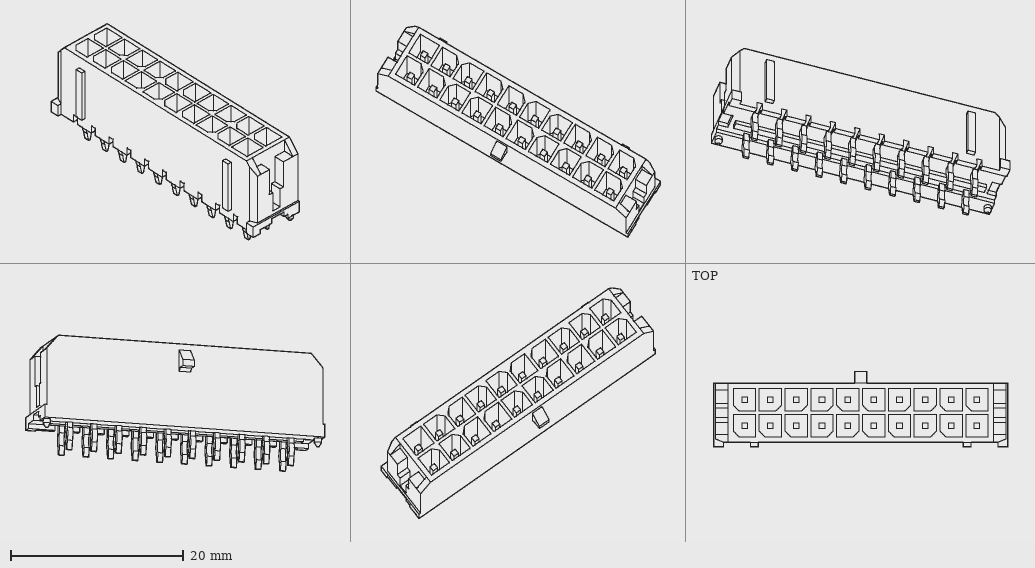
import cadquery as cq

COLUMNS = 10
PITCH = 3.0
FIRST_COLUMN_X = -PITCH * (COLUMNS - 1) / 2
ROW_Y = PITCH / 2

OVERALL_LENGTH = 34.15
OVERALL_WIDTH = 8.77
OVERALL_HEIGHT = 13.09

HOUSING_HALF_LENGTH = 16.84
HOUSING_HALF_WIDTH = 3.44
HOUSING_HEIGHT = 9.88
TOP_HALF_LENGTH = 15.4
SHOULDER_Z = 8.24
CORNER_CUT_X = 0.92
CORNER_CUT_Y = 0.41

REAR_CHEEK = 0.81
FRONT_CHEEK = 0.94
SLOT_WIDTH = 2.2
SLOT_STEP_Z = 4.63
NARROW_SLOT_WIDTH = 1.12
NARROW_SLOT_FLOOR_Z = 2.03

CAVITY_SIZE = 2.6
CAVITY_KEY = 0.68
CAVITY_FLOOR_Z = 2.0
REAR_KEYS = "LRRRLLRRLL"
FRONT_KEYS = "LLLRRLLRL-"

FOOT_HALF_LENGTH = OVERALL_LENGTH / 2
FOOT_INNER_X = HOUSING_HALF_LENGTH - CORNER_CUT_X
FOOT_FRONT_Y = -3.95
FOOT_HEIGHT = 1.53

CHANNEL_FRONT_Y = -2.8
CHANNEL_REAR_Y = 1.6
CHANNEL_HEIGHT = 0.57
END_NOTCH_WIDTH = 1.89
END_NOTCH_TOP_Z = 1.22
RIB_WIDTH = 0.78
RIB_LENGTH = 2 * TOP_HALF_LENGTH

PIN_SIZE = 0.64
PIN_TOP_Z = 7.5
PIN_BOTTOM_Z = HOUSING_HEIGHT - OVERALL_HEIGHT
PIN_TIP_SIZE = 0.26
PIN_TAPER_Z = -2.38
KINK_START_Z = -0.62
KINK_END_Z = -2.16
KINK_OFFSET = 0.2
PIN_NOTCH_TOP_Z = 1.03

FRONT_RIB_X = 12.36
FRONT_RIB_WIDTH = 0.94
FRONT_RIB_BOTTOM_Z = 1.53
FRONT_RIB_TOP_Z = 8.33

LATCH_WIDTH = 1.4
LATCH_REAR_Y = FOOT_FRONT_Y + OVERALL_WIDTH
LATCH_TOP_Z = 9.14
LATCH_TIP_TOP_Z = 7.73
LATCH_CATCH_Z = 6.97
LATCH_FILLET_Y = 3.88
LATCH_ROOT_Z = 6.6

PEG_X = 16.53
PEG_Y = 2.45
PEG_DIAMETER = 0.86
PEG_TIP_DIAMETER = 0.3
PEG_CYLINDER_LENGTH = 0.5
PEG_LENGTH = 0.95

SIDES = (-1, 1)


def block(x_range, y_range, z_range):
    """Box spanning the given pairs of limits, in either order."""
    (x0, x1), (y0, y1), (z0, z1) = (sorted(limits) for limits in (x_range, y_range, z_range))
    return cq.Workplane("XY").box(x1 - x0, y1 - y0, z1 - z0, centered=False).translate((x0, y0, z0))


def column_x(column):
    return FIRST_COLUMN_X + column * PITCH


def housing_body():
    """Shell outline with sloped upper ends and cut front corners."""
    profile = [
        (-HOUSING_HALF_LENGTH, 0),
        (HOUSING_HALF_LENGTH, 0),
        (HOUSING_HALF_LENGTH, SHOULDER_Z),
        (TOP_HALF_LENGTH, HOUSING_HEIGHT),
        (-TOP_HALF_LENGTH, HOUSING_HEIGHT),
        (-HOUSING_HALF_LENGTH, SHOULDER_Z),
    ]
    body = cq.Workplane("XZ").polyline(profile).close().extrude(HOUSING_HALF_WIDTH, both=True)
    for side in SIDES:
        corner = [
            (side * HOUSING_HALF_LENGTH, -HOUSING_HALF_WIDTH),
            (side * (HOUSING_HALF_LENGTH - CORNER_CUT_X), -HOUSING_HALF_WIDTH),
            (side * HOUSING_HALF_LENGTH, CORNER_CUT_Y - HOUSING_HALF_WIDTH),
        ]
        body = body.cut(cq.Workplane("XY").polyline(corner).close().extrude(HOUSING_HEIGHT))
    return body


def end_recess(side):
    """Space between the end cheeks, continued down as a stepped slot."""
    x_range = (side * TOP_HALF_LENGTH, side * HOUSING_HALF_LENGTH)
    cheek_gap = (FRONT_CHEEK - HOUSING_HALF_WIDTH, HOUSING_HALF_WIDTH - REAR_CHEEK)
    upper = block(x_range, cheek_gap, (SHOULDER_Z, HOUSING_HEIGHT))
    wide = block(x_range, (-SLOT_WIDTH / 2, SLOT_WIDTH / 2), (SLOT_STEP_Z, SHOULDER_Z))
    narrow_y = (-NARROW_SLOT_WIDTH / 2, NARROW_SLOT_WIDTH / 2)
    narrow = block(x_range, narrow_y, (NARROW_SLOT_FLOOR_Z, SLOT_STEP_Z))
    return upper.union(wide).union(narrow)


def cavity(x, y, key):
    """Square contact cavity with its front left (L), front right (R) or no (-) corner cut."""
    half = CAVITY_SIZE / 2
    hole = block((-half, half), (-half, half), (CAVITY_FLOOR_Z, HOUSING_HEIGHT))
    if key in "LR":
        corner = "<X and <Y" if key == "L" else ">X and <Y"
        hole = hole.edges("|Z").edges(corner).chamfer(CAVITY_KEY)
    return hole.translate((x, y, 0))


def foot(side):
    x_range = (side * FOOT_INNER_X, side * FOOT_HALF_LENGTH)
    return block(x_range, (FOOT_FRONT_Y, HOUSING_HALF_WIDTH), (0, FOOT_HEIGHT))


def end_notch(side):
    """Shallow notch above the channel, in the outer face of the end."""
    x_range = (side * FOOT_INNER_X, side * FOOT_HALF_LENGTH)
    return block(x_range, (-END_NOTCH_WIDTH / 2, END_NOTCH_WIDTH / 2), (0, END_NOTCH_TOP_Z))


def underside_channel():
    x_range = (-FOOT_HALF_LENGTH, FOOT_HALF_LENGTH)
    return block(x_range, (CHANNEL_FRONT_Y, CHANNEL_REAR_Y), (0, CHANNEL_HEIGHT))


def underside_rib():
    x_range = (-RIB_LENGTH / 2, RIB_LENGTH / 2)
    return block(x_range, (-RIB_WIDTH / 2, RIB_WIDTH / 2), (0, CHANNEL_HEIGHT))


def pin_notch(x):
    """Notch through the front wall, ending flush with the front face of the pin."""
    x_range = (x - PIN_SIZE / 2, x + PIN_SIZE / 2)
    return block(x_range, (-HOUSING_HALF_WIDTH, -ROW_Y - PIN_SIZE / 2), (0, PIN_NOTCH_TOP_Z))


def pin(x, row):
    """Square contact with an outward kink and a tapered tip; row is -1 (front) or 1 (rear)."""
    half = PIN_SIZE / 2
    half_tip = PIN_TIP_SIZE / 2
    center = row * ROW_Y
    kink_center = center + row * KINK_OFFSET
    kink_mid_z = (KINK_START_Z + KINK_END_Z) / 2
    return (
        cq.Workplane("YZ", origin=(x, 0, 0))
        .moveTo(center - half, PIN_TOP_Z)
        .lineTo(center - half, KINK_START_Z)
        .threePointArc((kink_center - half, kink_mid_z), (center - half, KINK_END_Z))
        .lineTo(center - half, PIN_TAPER_Z)
        .lineTo(center - half_tip, PIN_BOTTOM_Z)
        .lineTo(center + half_tip, PIN_BOTTOM_Z)
        .lineTo(center + half, PIN_TAPER_Z)
        .lineTo(center + half, KINK_END_Z)
        .threePointArc((kink_center + half, kink_mid_z), (center + half, KINK_START_Z))
        .lineTo(center + half, PIN_TOP_Z)
        .close()
        .extrude(half, both=True)
    )


def front_rib(side):
    center = side * FRONT_RIB_X
    x_range = (center - FRONT_RIB_WIDTH / 2, center + FRONT_RIB_WIDTH / 2)
    return block(x_range, (FOOT_FRONT_Y, -HOUSING_HALF_WIDTH), (FRONT_RIB_BOTTOM_Z, FRONT_RIB_TOP_Z))


def latch():
    """Ramp on the rear wall with a flat catch below."""
    profile = [
        (HOUSING_HALF_WIDTH, LATCH_TOP_Z),
        (LATCH_REAR_Y, LATCH_TIP_TOP_Z),
        (LATCH_REAR_Y, LATCH_CATCH_Z),
        (LATCH_FILLET_Y, LATCH_CATCH_Z),
        (HOUSING_HALF_WIDTH, LATCH_ROOT_Z),
    ]
    return cq.Workplane("YZ").polyline(profile).close().extrude(LATCH_WIDTH / 2, both=True)


def board_peg(side):
    """Locating peg with a conical tip."""
    radius = PEG_DIAMETER / 2
    profile = [
        (0, 0),
        (radius, 0),
        (radius, -PEG_CYLINDER_LENGTH),
        (PEG_TIP_DIAMETER / 2, -PEG_LENGTH),
        (0, -PEG_LENGTH),
    ]
    peg = cq.Workplane("XZ").polyline(profile).close().revolve(360, (0, 0, 0), (0, 1, 0))
    return peg.translate((side * PEG_X, PEG_Y, 0))


def build_connector():
    part = housing_body()
    for side in SIDES:
        part = part.cut(end_recess(side)).union(foot(side))
    part = part.cut(underside_channel())
    for side in SIDES:
        part = part.cut(end_notch(side)).union(board_peg(side)).union(front_rib(side))
    part = part.union(underside_rib()).union(latch())
    for row, keys in ((1, REAR_KEYS), (-1, FRONT_KEYS)):
        for column, key in enumerate(keys):
            part = part.cut(cavity(column_x(column), row * ROW_Y, key))
    for column in range(COLUMNS):
        x = column_x(column)
        part = part.cut(pin_notch(x)).union(pin(x, 1)).union(pin(x, -1))
    return part


result = build_connector()